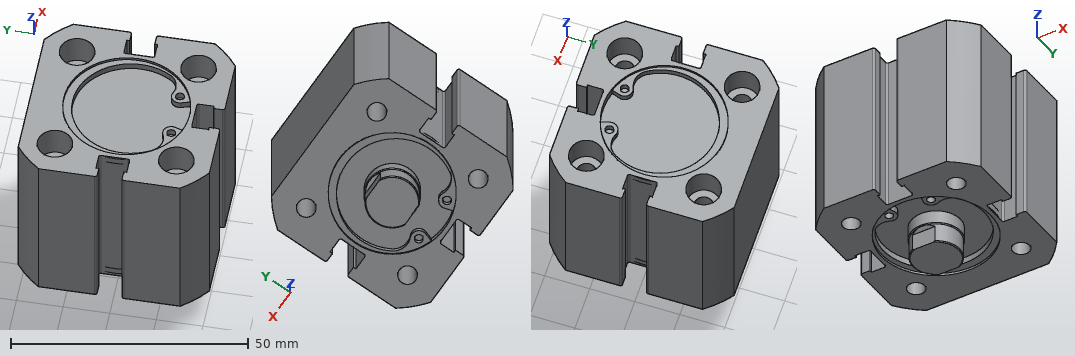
import cadquery as cq
import math

WIDTH = 41.0
HEIGHT = 38.0
OVERALL_LENGTH = 44
CORNER_RADIUS = 25.5
BORE_RADIUS = 13.5

BOLT_OFFSET = 13.02
BOLT_HOLE_DIAMETER = 4.15
COUNTERBORE_DIAMETER = 7.5
COUNTERBORE_DEPTH = 7.0

SLOT_DEPTH = 6.05
SLOT_WIDTH = 6.6
SLOT_MOUTH_WIDTH = 5.35
SLOT_LIP_DEPTH = 2.38
SLOT_FLOOR_FILLET = 0.45
SLOT_MOUTH_FILLET = 0.5
SLOT_DIRECTIONS = (0, -90, 90)

RING_RECESS = 0.55
RING_THICKNESS = 1.5
RING_OUTER_RADIUS = 14.4
RING_INNER_RADIUS = 12.5
RING_INNER_CENTER_Y = -0.9
LUG_X = 5.2
LUG_Y = -10.45
LUG_RADIUS = 1.8
LUG_HOLE_DIAMETER = 1.85
LUG_FILLET = 3.75

COVER_THICKNESS = 4.0
COVER_INSET = RING_RECESS + RING_THICKNESS
HEAD_COVER_BOTTOM_Z = HEIGHT - COVER_INSET - COVER_THICKNESS

ROD_RADIUS = 6.0
ROD_SHOULDER_Z = -1.28
ROD_END_RADIUS = 5.75
ROD_PROJECTION = OVERALL_LENGTH - HEIGHT
ROD_CHAMFER = 0.2
FLAT_DISTANCE = 5.0
FLAT_TOP_Z = -1.95


def point_at(center, angle, distance):
    """Point at a distance from a center, in the direction of an angle in radians."""
    return (center[0] + distance * math.cos(angle), center[1] + distance * math.sin(angle))


def direction(start, end):
    """Angle in radians of the line from one point to another."""
    return math.atan2(end[1] - start[1], end[0] - start[0])


def mirrored(point):
    """Mirror image of a point across the YZ plane."""
    return (-point[0], point[1])


def make_slot():
    """Cutter for the T-slot on the -Y side."""
    outer_y = -WIDTH / 2
    lip_y = outer_y + SLOT_LIP_DEPTH
    half_mouth = SLOT_MOUTH_WIDTH / 2
    mouth = cq.Workplane("XY").rect(SLOT_MOUTH_WIDTH, 2 * SLOT_LIP_DEPTH).extrude(HEIGHT)
    mouth = mouth.translate((0, outer_y, 0))
    pocket_depth = SLOT_DEPTH - SLOT_LIP_DEPTH
    pocket = cq.Workplane("XY").rect(SLOT_WIDTH, pocket_depth).extrude(HEIGHT)
    pocket = pocket.edges("|Z and >Y").fillet(SLOT_FLOOR_FILLET)
    slot = mouth.union(pocket.translate((0, lip_y + pocket_depth / 2, 0)))

    for side in (-1, 1):
        center = (side * (half_mouth + SLOT_MOUTH_FILLET), outer_y + SLOT_MOUTH_FILLET)
        flare = (
            cq.Workplane("XY")
            .moveTo(side * half_mouth, outer_y)
            .lineTo(center[0], outer_y)
            .threePointArc(
                point_at(center, -math.pi / 2 - side * math.pi / 4, SLOT_MOUTH_FILLET),
                (side * half_mouth, center[1]),
            )
            .close()
            .extrude(HEIGHT)
        )
        slot = slot.union(flare)
    return slot


def make_ring(bottom_z):
    """Eccentric retaining ring, open towards -Y, with a plier hole in each end lug."""
    origin = (0, 0)
    lug = (LUG_X, LUG_Y)
    inner = (0, RING_INNER_CENTER_Y)

    lug_distance = math.hypot(*lug)
    end_angle = direction(origin, lug) - math.asin(LUG_RADIUS / lug_distance)
    end_outer = point_at(origin, end_angle, RING_OUTER_RADIUS)
    end_inner = point_at(origin, end_angle, math.sqrt(lug_distance**2 - LUG_RADIUS**2))

    to_inner = RING_INNER_RADIUS - LUG_FILLET
    to_lug = LUG_RADIUS + LUG_FILLET
    span = math.dist(inner, lug)
    cosine = (span**2 + to_lug**2 - to_inner**2) / (2 * span * to_lug)
    fillet = point_at(lug, direction(lug, inner) - math.acos(cosine), to_lug)
    lug_join = point_at(lug, direction(lug, fillet), LUG_RADIUS)
    inner_join = point_at(inner, direction(inner, fillet), RING_INNER_RADIUS)

    lug_start = direction(lug, end_inner) % (2 * math.pi)
    lug_end = direction(lug, lug_join)
    lug_mid = point_at(lug, (lug_start + lug_end) / 2, LUG_RADIUS)
    fillet_mid_angle = (direction(fillet, lug_join) + direction(fillet, inner_join)) / 2
    fillet_mid = point_at(fillet, fillet_mid_angle, LUG_FILLET)

    ring = (
        cq.Workplane("XY", origin=(0, 0, bottom_z))
        .moveTo(*end_outer)
        .lineTo(*end_inner)
        .threePointArc(lug_mid, lug_join)
        .threePointArc(fillet_mid, inner_join)
        .threePointArc((0, RING_INNER_CENTER_Y + RING_INNER_RADIUS), mirrored(inner_join))
        .threePointArc(mirrored(fillet_mid), mirrored(lug_join))
        .threePointArc(mirrored(lug_mid), mirrored(end_inner))
        .lineTo(*mirrored(end_outer))
        .threePointArc((0, RING_OUTER_RADIUS), end_outer)
        .close()
        .extrude(RING_THICKNESS)
    )
    holes = (
        cq.Workplane("XY", origin=(0, 0, bottom_z))
        .pushPoints([lug, mirrored(lug)])
        .circle(LUG_HOLE_DIAMETER / 2)
        .extrude(RING_THICKNESS)
    )
    return ring.cut(holes)


def make_housing(rings):
    """Block with bore, mounting holes, sensor slots and ring seats."""
    housing = cq.Workplane("XY").rect(WIDTH, WIDTH).extrude(HEIGHT)
    housing = housing.intersect(cq.Workplane("XY").circle(CORNER_RADIUS).extrude(HEIGHT))
    housing = (
        housing.faces(">Z")
        .workplane(origin=(0, 0, HEIGHT))
        .rect(2 * BOLT_OFFSET, 2 * BOLT_OFFSET, forConstruction=True)
        .vertices()
        .cboreHole(BOLT_HOLE_DIAMETER, COUNTERBORE_DIAMETER, COUNTERBORE_DEPTH)
    )
    housing = housing.cut(cq.Workplane("XY").circle(BORE_RADIUS).extrude(HEIGHT))
    slot = make_slot()
    for angle in SLOT_DIRECTIONS:
        housing = housing.cut(slot.rotate((0, 0, 0), (0, 0, 1), angle))
    for ring in rings:
        housing = housing.cut(ring)
    return housing


def make_head_cover():
    """Plain disc that closes the bore below the top ring."""
    return (
        cq.Workplane("XY", origin=(0, 0, HEAD_COVER_BOTTOM_Z))
        .circle(BORE_RADIUS)
        .extrude(COVER_THICKNESS)
    )


def make_rod_cover():
    """Disc above the bottom ring that guides the rod."""
    return (
        cq.Workplane("XY", origin=(0, 0, COVER_INSET))
        .circle(BORE_RADIUS)
        .circle(ROD_RADIUS)
        .extrude(COVER_THICKNESS)
    )


def make_rod():
    """Rod from the head cover down to a stepped end with two wrench flats."""
    rod = (
        cq.Workplane("XZ")
        .moveTo(0, HEAD_COVER_BOTTOM_Z)
        .lineTo(ROD_RADIUS, HEAD_COVER_BOTTOM_Z)
        .lineTo(ROD_RADIUS, ROD_SHOULDER_Z + ROD_CHAMFER)
        .lineTo(ROD_END_RADIUS, ROD_SHOULDER_Z)
        .lineTo(ROD_END_RADIUS, ROD_CHAMFER - ROD_PROJECTION)
        .lineTo(ROD_END_RADIUS - ROD_CHAMFER, -ROD_PROJECTION)
        .lineTo(0, -ROD_PROJECTION)
        .close()
        .revolve(360, (0, 0, 0), (0, 1, 0))
    )

    runout = ROD_END_RADIUS - FLAT_DISTANCE
    flat = (
        cq.Workplane("YZ")
        .moveTo(FLAT_DISTANCE, -ROD_PROJECTION)
        .lineTo(FLAT_DISTANCE, FLAT_TOP_Z)
        .lineTo(ROD_END_RADIUS, FLAT_TOP_Z + runout)
        .lineTo(ROD_END_RADIUS, -ROD_PROJECTION)
        .close()
        .extrude(ROD_RADIUS, both=True)
    )
    return rod.cut(flat).cut(flat.mirror("XZ"))


ring_heights = (RING_RECESS, HEIGHT - COVER_INSET)
rings = [make_ring(bottom_z) for bottom_z in ring_heights]
housing = make_housing(rings)
head_cover = make_head_cover()
rod_cover = make_rod_cover()
rod = make_rod()

result = cq.Compound.makeCompound(
    [
        housing.val(),
        *[ring.val() for ring in rings],
        head_cover.val(),
        rod_cover.val(),
        rod.val(),
    ]
)